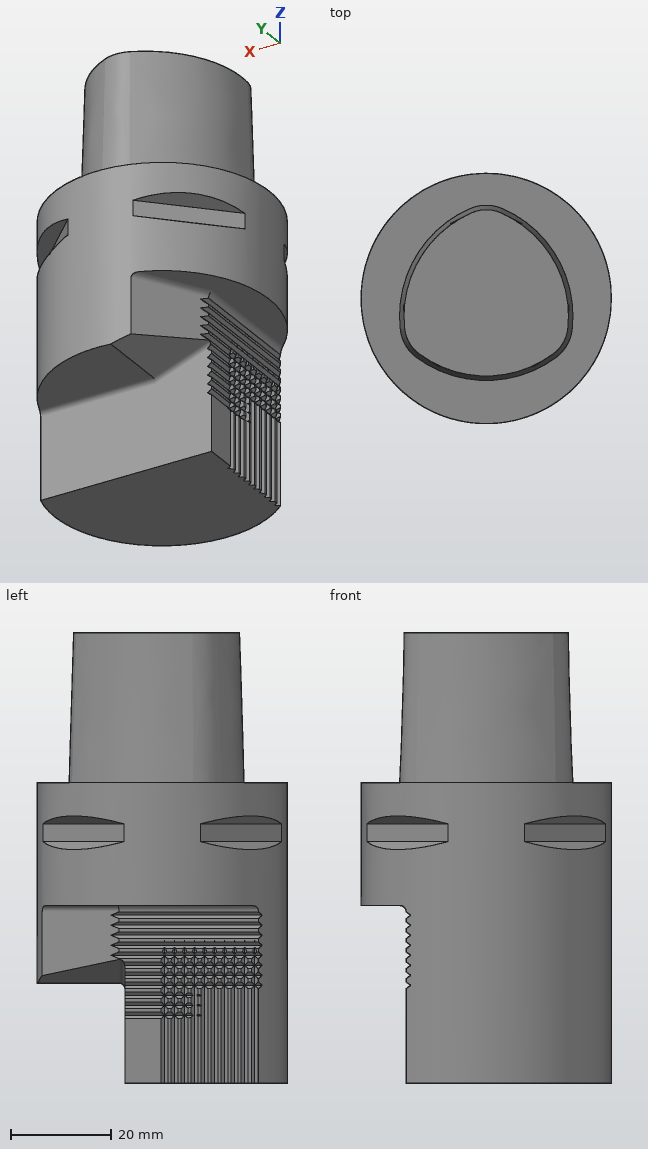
import cadquery as cq
import math

total_height = 90.0
body_height = 60.0
body_diameter = 50.0
body_radius = body_diameter / 2
margin = 4.5
reach = body_radius + margin

lobe_radius = 18.6
side_radius = 16.4
side_arc_radius = 23.4
lobe_count = 3
lobe_spacing = 360 / lobe_count
shank_inset = 0.9

slot_count = 4
slot_first_angle = 45.0
slot_floor_distance = 22.2
slot_floor_height = 3.5
slot_flank_angle = 30.0
slot_mid_z = 50.0

seat_x = -16.0
seat_top_z = 35.5
seat_low_end_y = 8.6
slant_angle = 30.0
corner_fillet = 1.2
seat_cutter_width = 4 * reach

notch_wall_y = 7.5
notch_ceiling_z = 20.0
notch_slope_start_x = -3.0
notch_slope_angle = 20.0

groove_depth = 0.9
groove_half_width = 0.675
groove_runout = 4.0
long_groove_count = 8
short_groove_count = 3
upright_groove_count = 10
upright_groove_span = 18.0
groove_pitch = upright_groove_span / (upright_groove_count - 1)
first_groove_z = 33.6
first_upright_y = -0.45
short_groove_end_y = -8.2
upright_groove_end_z = 28.5


def lobed_outline(inset, z):
    """Closed outline of three long side arcs and three short lobe arcs, all tangent."""
    side_center = side_arc_radius - side_radius
    lobe_arc_radius = (
        (side_center**2 + lobe_radius**2 + side_center * lobe_radius - side_arc_radius**2)
        / (2 * lobe_radius + side_center - 2 * side_arc_radius)
    )
    lobe_center = lobe_radius - lobe_arc_radius
    next_lobe_direction = math.radians(-90 + lobe_spacing / 2)
    join_angle = math.atan2(
        lobe_center * math.sin(next_lobe_direction) - side_center,
        lobe_center * math.cos(next_lobe_direction),
    )
    join_x = (side_arc_radius - inset) * math.cos(join_angle)
    join_y = (side_arc_radius - inset) * math.sin(join_angle) + side_center
    join_radius = math.hypot(join_x, join_y)
    join_direction = math.degrees(math.atan2(join_y, join_x))
    half_side_span = join_direction + 90

    def polar(radius, angle):
        return (radius * math.cos(math.radians(angle)), radius * math.sin(math.radians(angle)))

    outline = cq.Workplane("XY").workplane(offset=z).moveTo(*polar(join_radius, -90 - half_side_span))
    for side in range(lobe_count):
        side_angle = -90 + side * lobe_spacing
        outline = outline.threePointArc(
            polar(side_radius - inset, side_angle), polar(join_radius, side_angle + half_side_span)
        )
        outline = outline.threePointArc(
            polar(lobe_radius - inset, side_angle + lobe_spacing / 2),
            polar(join_radius, side_angle + lobe_spacing - half_side_span),
        )
    return outline.close().wire().val()


def make_shank():
    foot = lobed_outline(0, body_height)
    top = lobed_outline(shank_inset, total_height)
    return cq.Workplane(obj=cq.Solid.makeLoft([foot, top], True))


def gripper_slot(angle):
    """Straight slot with sloped flanks, tangential to the body."""
    depth = reach - slot_floor_distance
    half_floor = slot_floor_height / 2
    half_mouth = half_floor + depth * math.tan(math.radians(slot_flank_angle))
    return (
        cq.Workplane("XZ")
        .polyline([
            (slot_floor_distance, slot_mid_z - half_floor),
            (reach, slot_mid_z - half_mouth),
            (reach, slot_mid_z + half_mouth),
            (slot_floor_distance, slot_mid_z + half_floor),
        ])
        .close()
        .extrude(reach, both=True)
        .rotate((0, 0, 0), (0, 0, 1), angle)
    )


def seat_cutter():
    """Block that clears the -X side up to the seat ledge, with a rounded inner corner."""
    return (
        cq.Workplane("XY")
        .box(body_diameter, seat_cutter_width, seat_top_z + margin, centered=(False, True, False))
        .translate((seat_x - body_diameter, 0, -margin))
        .edges(">X and >Z")
        .fillet(corner_fillet)
    )


def slant_cutter():
    """The same block, turned about the end of the serrated face."""
    pivot = (seat_x, seat_low_end_y, 0)
    pivot_top = (seat_x, seat_low_end_y, 1)
    return seat_cutter().rotate(pivot, pivot_top, -slant_angle)


def notch_cutter():
    """Opening through the +Y side; its ceiling is level and then rises towards -X."""
    slope_rise = (notch_slope_start_x + reach) * math.tan(math.radians(notch_slope_angle))
    return (
        cq.Workplane("XZ", origin=(0, notch_wall_y, 0))
        .polyline([
            (-reach, -margin),
            (reach, -margin),
            (reach, notch_ceiling_z),
            (notch_slope_start_x, notch_ceiling_z),
            (-reach, notch_ceiling_z + slope_rise),
        ])
        .close()
        .extrude(-reach)
        .faces("<Y")
        .edges("not (|Z or <Z)")
        .fillet(corner_fillet)
    )


def groove_prism(start, end):
    """V-shaped cutter in the serrated face, running along Z."""
    return (
        cq.Workplane("XY", origin=(seat_x, 0, start))
        .polyline([(0, -groove_half_width), (groove_depth, 0), (0, groove_half_width)])
        .close()
        .extrude(end - start)
    )


def groove_with_runout(start, end):
    """V-shaped cutter along Z whose upper end rises to a point on the serrated face."""
    runout_start = end - groove_runout
    left = cq.Vector(seat_x, -groove_half_width, runout_start)
    root = cq.Vector(seat_x + groove_depth, 0, runout_start)
    right = cq.Vector(seat_x, groove_half_width, runout_start)
    tip = cq.Vector(seat_x, 0, end)
    triangles = [(left, root, right), (left, root, tip), (root, right, tip), (right, left, tip)]
    faces = [cq.Face.makeFromWires(cq.Wire.makePolygon(points, close=True)) for points in triangles]
    point = cq.Solid.makeSolid(cq.Shell.makeShell(faces))
    return groove_prism(start, runout_start).union(cq.Workplane(obj=point))


def along_minus_y(cutter, z):
    """Turn a cutter that runs towards +Z so that it runs towards -Y at height z."""
    return cutter.rotate((0, 0, 0), (1, 0, 0), 90).translate((0, 0, z))


def make_body():
    body = cq.Workplane("XY").circle(body_radius).extrude(body_height)

    for slot in range(slot_count):
        body = body.cut(gripper_slot(slot_first_angle + slot * 360 / slot_count))

    body = body.cut(seat_cutter())
    body = body.cut(slant_cutter())
    body = body.cut(notch_cutter())

    for row in range(long_groove_count + short_groove_count):
        if row < long_groove_count:
            groove = groove_prism(-reach, reach)
        else:
            groove = groove_with_runout(-reach, -short_groove_end_y)
        body = body.cut(along_minus_y(groove, first_groove_z - row * groove_pitch))

    for column in range(upright_groove_count):
        groove = groove_with_runout(-margin, upright_groove_end_z)
        body = body.cut(groove.translate((0, first_upright_y - column * groove_pitch, 0)))
    return body


shank = make_shank()
body = make_body()

result = cq.Compound.makeCompound([shank.val(), *body.solids().vals()])